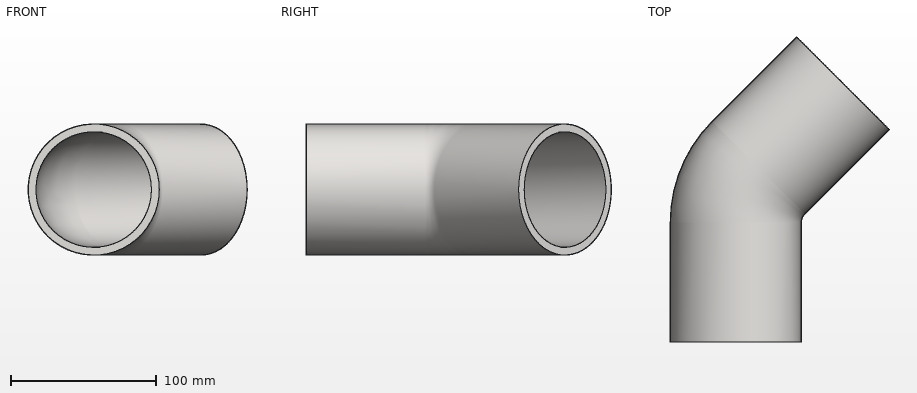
import cadquery as cq
import math

outer_diameter = 90.0
inner_diameter = 79.2
bend_angle = 45.0
leg_length = 82.0
overall_width = 150.36

outer_radius = outer_diameter / 2
inner_radius = inner_diameter / 2
bend_radians = math.radians(bend_angle)

leg_reach = leg_length * math.sin(bend_radians)
end_face_reach = outer_radius * math.cos(bend_radians)
bend_offset = overall_width - outer_radius - leg_reach - end_face_reach
bend_radius = bend_offset / (1 - math.cos(bend_radians))


def centreline():
    """Straight leg along +Y, a bend towards +X, then a second straight leg."""
    bend_start = (0, leg_length)
    bend_middle = (
        bend_radius * (1 - math.cos(bend_radians / 2)),
        leg_length + bend_radius * math.sin(bend_radians / 2),
    )
    bend_end = (bend_offset, leg_length + bend_radius * math.sin(bend_radians))
    leg_end = (
        bend_end[0] + leg_reach,
        bend_end[1] + leg_length * math.cos(bend_radians),
    )
    return (
        cq.Workplane("XY")
        .lineTo(*bend_start)
        .threePointArc(bend_middle, bend_end)
        .lineTo(*leg_end)
    )


def make_elbow():
    """Ring-shaped pipe section swept along the centreline."""
    return (
        cq.Workplane("XZ")
        .circle(outer_radius)
        .circle(inner_radius)
        .sweep(centreline())
    )


result = make_elbow().solids()